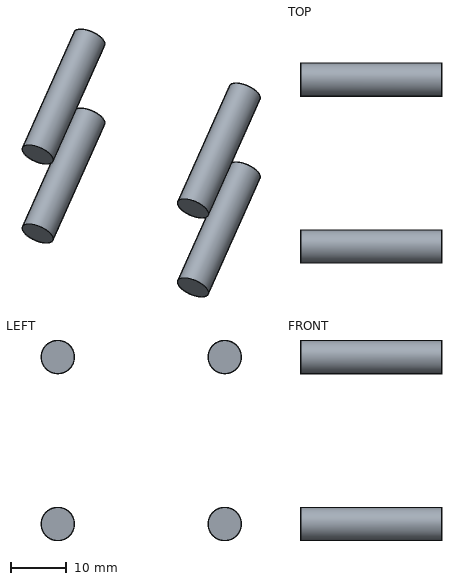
import cadquery as cq

overall_size = 36.0
pin_diameter = 6.0
pin_length = 25.4

axis_offset = (overall_size - pin_diameter) / 2


def make_pin(y, z):
    """Plain cylindrical pin along X, centred on X = 0, with its axis at (y, z)."""
    return (
        cq.Workplane("YZ", origin=(-pin_length / 2, y, z))
        .circle(pin_diameter / 2)
        .extrude(pin_length)
    )


pins = []
for y in (-axis_offset, axis_offset):
    for z in (-axis_offset, axis_offset):
        pins.append(make_pin(y, z).val())

result = cq.Compound.makeCompound(pins)